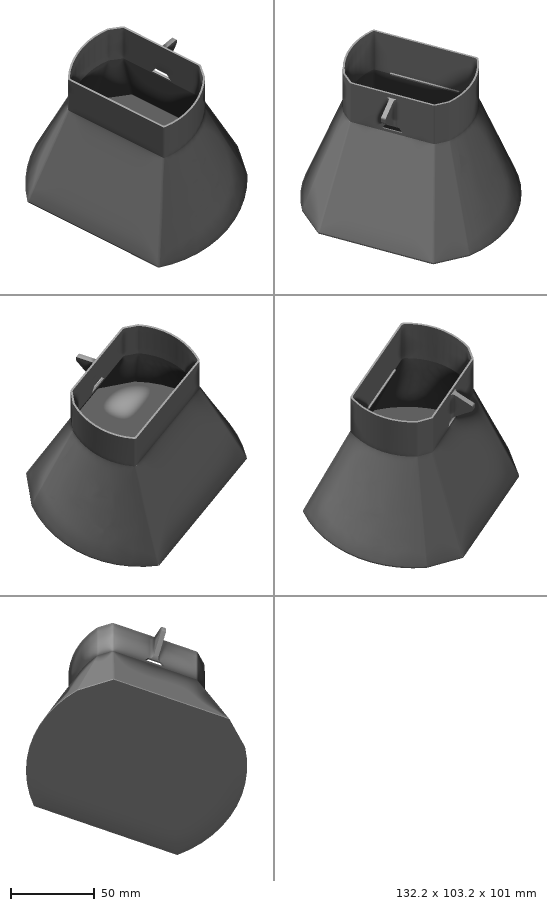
import cadquery as cq
import math

total_height = 101.0
floor_thickness = 1.0
collar_bottom = 71.0
cone_height = collar_bottom - floor_thickness

wall = 1.2
taper_angle = 20.0
flare = cone_height * math.tan(math.radians(taper_angle))
corner_radius = 2.0

half_width = 40.64
side_radius = 45.0
side_centre_x = half_width - side_radius
back_y = 29.0
depth = 52.2
front_y = back_y - depth
back_corner_x = 27.5
bevel_angle = 42.6

hook_thickness = 3.0
hook_reach = 13.9
hook_top = 98.0
hook_bottom = 76.8
hook_top_slope = 20.0
hook_nose_bottom = 89.2
hook_nose_radius = 1.4
hook_root_radius = 2.0

window_bottom = 72.6
window_height = 4.0
window_tilt = 20.0
window_bottom_width = 13.0
window_top_width = 8.0

ledge_width = 45.0
ledge_depth = 1.2
ledge_height = 1.0


def outline(grow, z):
    """Wire at height z: the collar outline moved outward by `grow`."""
    slope = math.radians(bevel_angle)
    radius = side_radius + grow
    back = back_y + grow
    front = front_y - grow
    bevel_distance = back_corner_x * math.sin(slope) + back_y * math.cos(slope) + grow
    centre_distance = bevel_distance - side_centre_x * math.sin(slope)
    corner_x = (bevel_distance - back * math.cos(slope)) / math.sin(slope)
    meet_angle = math.pi / 2 - slope - math.acos(centre_distance / radius)
    meet_x = side_centre_x + radius * math.cos(meet_angle)
    meet_y = radius * math.sin(meet_angle)
    side_x = side_centre_x + radius
    front_x = side_centre_x + math.sqrt(radius**2 - front**2)
    return (
        cq.Workplane("XY", origin=(0, 0, z))
        .moveTo(-corner_x, back)
        .lineTo(corner_x, back)
        .lineTo(meet_x, meet_y)
        .threePointArc((side_x, 0), (front_x, front))
        .lineTo(-front_x, front)
        .threePointArc((-side_x, 0), (-meet_x, meet_y))
        .close()
    )


def funnel(grow):
    """Solid cone with the collar on top, corners rounded, without the floor plate."""
    collar = outline(grow, collar_bottom).extrude(total_height - collar_bottom)
    wide = outline(grow + flare, floor_thickness).val()
    narrow = outline(grow, collar_bottom).val()
    cone = cq.Workplane(cq.Solid.makeLoft([wide, narrow], True))
    collar = collar.edges("|Z").fillet(corner_radius)
    cone = cone.edges("not(>Z or <Z)").fillet(corner_radius)
    return collar.union(cone)


def hook():
    """Pointed hook: its side profile intersected with its flared plan shape."""
    root_y = back_y - wall / 2
    tip_y = back_y + hook_reach
    half_thickness = hook_thickness / 2
    root_half_thickness = half_thickness + hook_root_radius
    nose_top = hook_top - hook_reach * math.tan(math.radians(hook_top_slope))
    profile = (
        cq.Workplane("YZ")
        .polyline([
            (root_y, hook_bottom),
            (back_y, hook_bottom),
            (tip_y, hook_nose_bottom),
            (tip_y, nose_top),
            (back_y, hook_top),
            (root_y, hook_top),
        ])
        .close()
        .extrude(root_half_thickness, both=True)
        .edges(">Y and |X")
        .fillet(hook_nose_radius)
    )
    flare_y = back_y + hook_root_radius
    arc_shift = hook_root_radius * math.sin(math.radians(45))
    arc_x = root_half_thickness - arc_shift
    arc_y = flare_y - arc_shift
    plan = (
        cq.Workplane("XY", origin=(0, 0, hook_bottom))
        .moveTo(-root_half_thickness, root_y)
        .lineTo(-root_half_thickness, back_y)
        .threePointArc((-arc_x, arc_y), (-half_thickness, flare_y))
        .lineTo(-half_thickness, tip_y)
        .lineTo(half_thickness, tip_y)
        .lineTo(half_thickness, flare_y)
        .threePointArc((arc_x, arc_y), (root_half_thickness, back_y))
        .lineTo(root_half_thickness, root_y)
        .close()
        .extrude(hook_top - hook_bottom)
    )
    return profile.intersect(plan)


def window():
    """Cutter for the window, tilted about its lower inner edge."""
    window_top = window_bottom + window_height
    inner_back_y = back_y - wall
    return (
        cq.Workplane("XZ", origin=(0, inner_back_y, 0))
        .polyline([
            (-window_bottom_width / 2, window_bottom),
            (window_bottom_width / 2, window_bottom),
            (window_top_width / 2, window_top),
            (-window_top_width / 2, window_top),
        ])
        .close()
        .extrude(2 * wall, both=True)
        .rotate((0, inner_back_y, window_bottom), (1, inner_back_y, window_bottom), window_tilt)
    )


def ledge():
    """Narrow shelf, half sunk into the wall so that it joins it fully."""
    inner_front_y = front_y + wall
    return cq.Workplane("XY").box(
        ledge_width, wall / 2 + ledge_depth, ledge_height, centered=(True, False, False)
    ).translate((0, inner_front_y - wall / 2, collar_bottom))


floor_plate = outline(flare, 0).extrude(floor_thickness)
body = funnel(0).cut(funnel(-wall)).union(floor_plate)
result = body.union(ledge()).union(hook()).cut(window())